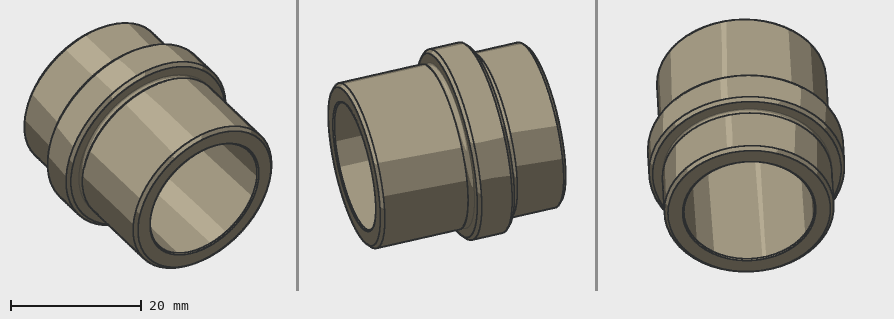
import cadquery as cq

length = 30.0
flange_diameter = 30.0
body_diameter = 26.0
bore_diameter = 20.0
flange_start = 9.0
flange_width = 6.0
groove_width = 1.0
groove_depth = 0.45
edge_chamfer = 0.55
bore_chamfer = 0.2

x_min = -length / 2
flange_left = x_min + flange_start
flange_right = flange_left + flange_width
body_radius = body_diameter / 2


def cylinder(x_start, width, diameter):
    """Solid cylinder along X."""
    return cq.Workplane("YZ", origin=(x_start, 0, 0)).circle(diameter / 2).extrude(width)


def relief_groove(x_start):
    """Ring with a round bottom that is cut into the body surface beside the flange."""
    return (
        cq.Workplane("XY")
        .moveTo(x_start, body_radius)
        .threePointArc(
            (x_start + groove_width / 2, body_radius - groove_depth),
            (x_start + groove_width, body_radius),
        )
        .close()
        .revolve(360, (0, 0, 0), (1, 0, 0))
    )


body = cylinder(x_min, length, body_diameter).edges().chamfer(edge_chamfer)
flange = cylinder(flange_left, flange_width, flange_diameter).edges().chamfer(edge_chamfer)
result = body.union(flange)

for groove_start in (flange_left - groove_width, flange_right):
    result = result.cut(relief_groove(groove_start))

result = result.cut(cylinder(x_min, length, bore_diameter))
bore_mouths = cq.selectors.RadiusNthSelector(0)
result = result.faces("<X or >X").edges(bore_mouths).chamfer(bore_chamfer)